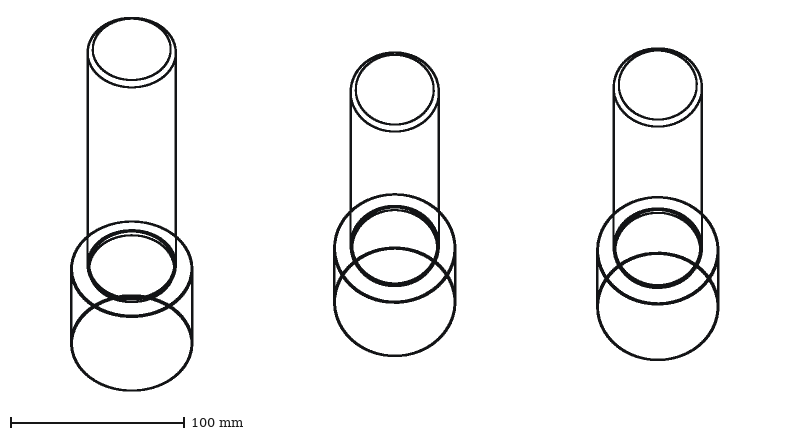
import cadquery as cq

total_length = 275.0

head_diameter = 70.0
head_height = 70.0
head_edge_chamfer = 0.5

shank_diameter = 51.0
tip_chamfer = 3.0

relief_depth = 1.0
relief_width = 3.5


def make_head():
    head = cq.Workplane("XY").circle(head_diameter / 2).extrude(head_height)
    return head.faces("<Z or >Z").edges().chamfer(head_edge_chamfer)


def make_neck():
    neck_radius = shank_diameter / 2 - relief_depth
    return cq.Workplane("XY").workplane(offset=head_height).circle(neck_radius).extrude(relief_width)


def make_shank():
    shank_base = head_height + relief_width
    shank_length = total_length - shank_base
    shank = cq.Workplane("XY").workplane(offset=shank_base).circle(shank_diameter / 2).extrude(shank_length)
    return shank.faces(">Z").edges().chamfer(tip_chamfer)


result = make_head().union(make_neck()).union(make_shank())